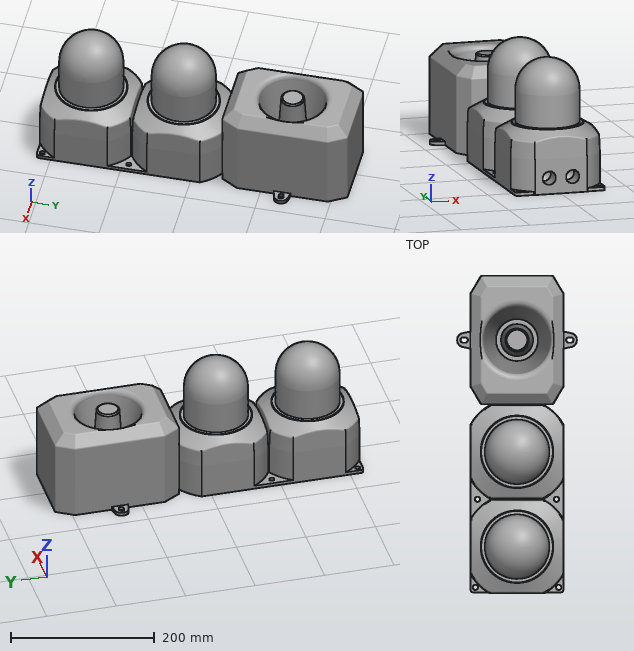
import cadquery as cq
import math


body_width = 130.0
overall_length = 442.0
flange_thickness = 5.0

beacon_length = 130.0
beacon_pitch = 132.0
beacon_centers_y = (beacon_length / 2, beacon_length / 2 + beacon_pitch)
corner_radius = 75.2
base_height = 50.5
cover_draft = 2.5
cover_top_z = 88.4
cover_top_radius = 50.7
cover_slope = 30.0
cover_edge_fillet = 3.0
edge_tolerance = 0.01
collar_radius = 49.7
collar_height = 0.6
dome_radius = 45.0
dome_top_z = 180.0

plate_front_y = 1.0
plate_corner_radius = 5.0
plate_hole_diameter = 7.0
front_hole_x = 58.0
front_hole_y = 8.5
middle_hole_x = 55.0
middle_hole_y = (beacon_centers_y[0] + beacon_centers_y[1]) / 2

entry_diameter = 19.0
entry_spacing = 34.0
entry_z = 23.0
entry_depth = 25.0
entry_point_angle = 118.0

sounder_length = 179.0
sounder_start_y = overall_length - sounder_length
sounder_center_y = overall_length - sounder_length / 2
sounder_height = 125.0
sounder_corner_x = 15.0
sounder_corner_y = 25.0
sounder_bevel = 15.0
sounder_edge_fillet = 3.0

horn_rim_radius = 55.4
horn_mouth_radius = 46.6
horn_floor_radius = 29.2
horn_depth = 100.0
horn_lip = horn_rim_radius - horn_mouth_radius
plug_top_radius = 14.2
plug_shoulder_radius = 16.3
plug_foot_radius = 22.4
plug_chamfer = plug_shoulder_radius - plug_top_radius

ear_reach = 166.97 / 2
ear_tip_radius = 10.0
ear_root_width = 24.0
ear_slot_length = 10.0
ear_slot_width = 7.0


def make_beacon_base():
    """Lower block: a square with its corners rounded about the beacon axis."""
    square = cq.Workplane("XY").rect(body_width, beacon_length).extrude(base_height)
    disc = cq.Workplane("XY").circle(corner_radius).extrude(base_height)
    return square.intersect(disc)


def make_cover():
    """Drafted cover with a conical top that arches over the flat sides."""
    draft_tangent = math.tan(math.radians(cover_draft))
    slope_tangent = math.tan(math.radians(cover_slope))
    undrafted_rim_z = cover_top_z - (corner_radius - cover_top_radius) * slope_tangent
    rim_inset = (undrafted_rim_z - base_height) * draft_tangent / (1 - slope_tangent * draft_tangent)
    rim_radius = corner_radius - rim_inset
    rim_z = undrafted_rim_z + rim_inset * slope_tangent

    block = (
        cq.Workplane("XY")
        .workplane(offset=base_height)
        .rect(body_width, beacon_length)
        .extrude(cover_top_z - base_height, taper=cover_draft)
    )
    cap = (
        cq.Workplane("XZ")
        .moveTo(0, base_height)
        .lineTo(corner_radius, base_height)
        .lineTo(rim_radius, rim_z)
        .lineTo(cover_top_radius, cover_top_z)
        .lineTo(0, cover_top_z)
        .close()
        .revolve(360, (0, 0, 0), (0, 1, 0))
    )
    cover = block.intersect(cap)
    rim_edges = cover.edges().filter(
        lambda edge: rim_z - edge_tolerance < edge.Center().z < cover_top_z - edge_tolerance
    )
    return rim_edges.fillet(cover_edge_fillet)


def make_dome():
    """Lens: a cylinder closed by a hemisphere, standing on a low collar."""
    spring_z = dome_top_z - dome_radius
    collar_top_z = cover_top_z + collar_height
    arc_offset = dome_radius * math.sqrt(0.5)
    return (
        cq.Workplane("XZ")
        .moveTo(0, cover_top_z)
        .lineTo(collar_radius, cover_top_z)
        .lineTo(collar_radius, collar_top_z)
        .lineTo(dome_radius, collar_top_z)
        .lineTo(dome_radius, spring_z)
        .threePointArc((arc_offset, spring_z + arc_offset), (0, dome_top_z))
        .close()
        .revolve(360, (0, 0, 0), (0, 1, 0))
    )


def make_beacon():
    return make_beacon_base().union(make_cover()).union(make_dome())


def make_base_plate():
    """Plate under both beacons, with corner holes in front and a pair between the beacons."""
    length = beacon_centers_y[1] - plate_front_y
    hole_points = []
    for side in (-1, 1):
        hole_points.append((side * front_hole_x, front_hole_y))
        hole_points.append((side * middle_hole_x, middle_hole_y))
    holes = (
        cq.Workplane("XY")
        .pushPoints(hole_points)
        .circle(plate_hole_diameter / 2)
        .extrude(flange_thickness)
    )
    return (
        cq.Workplane("XY")
        .center(0, plate_front_y + length / 2)
        .rect(body_width, length)
        .extrude(flange_thickness)
        .edges("|Z and <Y")
        .fillet(plate_corner_radius)
        .cut(holes)
    )


def make_bridge():
    """Spine that closes the narrow gaps behind each beacon base."""
    flat_width = 2 * math.sqrt(corner_radius**2 - (beacon_length / 2) ** 2)
    length = sounder_start_y - beacon_length
    return (
        cq.Workplane("XY")
        .center(0, beacon_length + length / 2)
        .rect(flat_width, length)
        .extrude(base_height)
    )


def make_cable_entries():
    """Pair of blind drilled holes with conical bottoms, entering the front face along +Y."""
    radius = entry_diameter / 2
    tip_length = radius / math.tan(math.radians(entry_point_angle / 2))
    drill = (
        cq.Workplane("XY")
        .lineTo(radius, 0)
        .lineTo(radius, entry_depth)
        .lineTo(0, entry_depth + tip_length)
        .close()
        .revolve(360, (0, 0, 0), (0, 1, 0))
    )
    left_drill = drill.translate((-entry_spacing / 2, 0, entry_z))
    return left_drill.union(left_drill.mirror("YZ"))


def make_sounder_box():
    half_width = body_width / 2
    half_length = sounder_length / 2
    corner_start_x = half_width - sounder_corner_x
    corner_start_y = half_length - sounder_corner_y
    return (
        cq.Workplane("XY")
        .moveTo(-corner_start_x, -half_length)
        .lineTo(corner_start_x, -half_length)
        .lineTo(half_width, -corner_start_y)
        .lineTo(half_width, corner_start_y)
        .lineTo(corner_start_x, half_length)
        .lineTo(-corner_start_x, half_length)
        .lineTo(-half_width, corner_start_y)
        .lineTo(-half_width, -corner_start_y)
        .close()
        .extrude(sounder_height)
        .faces(">Z")
        .chamfer(sounder_bevel)
        .edges("not <Z")
        .fillet(sounder_edge_fillet)
    )


def make_horn_cavity():
    """Flared opening with a rounded lip, less the plug in its middle."""
    floor_z = sounder_height - horn_depth
    lip_bottom_z = sounder_height - horn_lip
    lip_middle = horn_lip * math.sqrt(0.5)
    return (
        cq.Workplane("XZ")
        .moveTo(plug_foot_radius, floor_z)
        .lineTo(horn_floor_radius, floor_z)
        .lineTo(horn_mouth_radius, lip_bottom_z)
        .threePointArc(
            (horn_rim_radius - lip_middle, lip_bottom_z + lip_middle),
            (horn_rim_radius, sounder_height),
        )
        .lineTo(plug_top_radius, sounder_height)
        .lineTo(plug_shoulder_radius, sounder_height - plug_chamfer)
        .close()
        .revolve(360, (0, 0, 0), (0, 1, 0))
    )


def make_ears():
    """Slotted ears on both sides, narrowing from the box wall to a round tip."""
    tip_x = ear_reach - ear_tip_radius
    root_x = body_width / 2
    root_half = ear_root_width / 2
    tip = cq.Workplane("XY").center(tip_x, 0).circle(ear_tip_radius).extrude(flange_thickness)
    run = tip_x - root_x
    flank_angle = math.atan2(root_half, -run) - math.acos(ear_tip_radius / math.hypot(run, root_half))
    tangent_x = tip_x + ear_tip_radius * math.cos(flank_angle)
    tangent_y = ear_tip_radius * math.sin(flank_angle)
    web = (
        cq.Workplane("XY")
        .moveTo(0, -root_half)
        .lineTo(root_x, -root_half)
        .lineTo(tangent_x, -tangent_y)
        .lineTo(tangent_x, tangent_y)
        .lineTo(root_x, root_half)
        .lineTo(0, root_half)
        .close()
        .extrude(flange_thickness)
    )
    slot = (
        cq.Workplane("XY")
        .center(tip_x, 0)
        .slot2D(ear_slot_length, ear_slot_width)
        .extrude(flange_thickness)
    )
    ear = web.union(tip).cut(slot)
    return ear.union(ear.mirror("YZ"))


def make_sounder():
    sounder = make_sounder_box().cut(make_horn_cavity()).union(make_ears())
    return sounder.translate((0, sounder_center_y, 0))


beacon = make_beacon()
result = make_base_plate().union(make_bridge())
for center_y in beacon_centers_y:
    result = result.union(beacon.translate((0, center_y, 0)))
result = result.union(make_sounder())
result = result.cut(make_cable_entries())